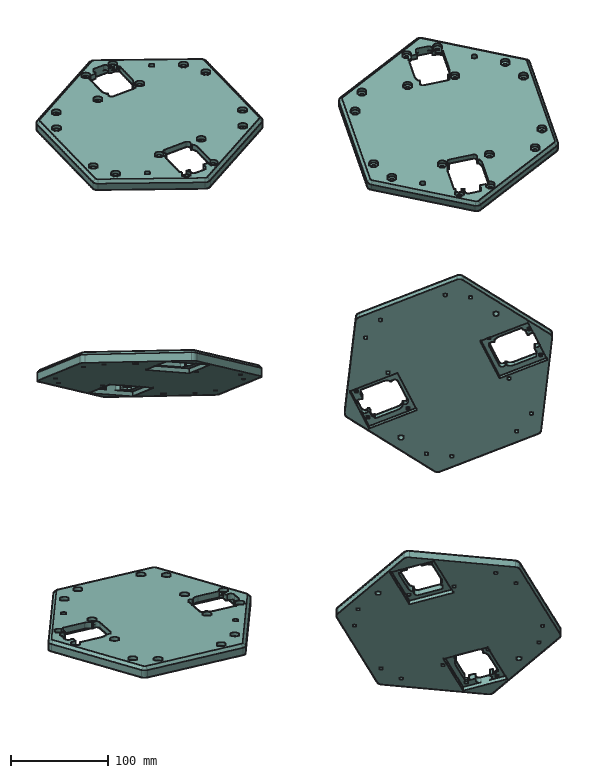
import cadquery as cq
import math

length = 232.7
thickness = 11.9
corner_radius = 6.0
edge_chamfer = 3.3
vertex_loss = corner_radius * (1 / math.cos(math.radians(30)) - 1)
vertex_diameter = length + 2 * vertex_loss

screw_diameter = 3.7
head_diameter = 9.5
head_radius = head_diameter / 2
head_depth = 4.2
floor_z = thickness - head_depth
edge_screws = [(36.5, 89.5), (59.0, 76.3)]
outer_screw = (-95.5, -18.8)
offset_screw = (-97.3, 14.5)
inner_screws = [(-55.4, 21.6), (-55.4, -28.6)]
relief_width = 5.5

pin_diameter = 5.5
pin_hole = (-75.0, 47.7)

body_left = -92.8
body_half_width = 18.5
shoulder_radius = 10.2
shoulder_start = -65.5
shoulder_end = -58.6
throat_half_width = 15.0
opening_right = -51.5
throat_corner_radius = 3.5
throat_corner_y = 12.3
notch_left = -100.5
notch_half_width = 8.0
notch_corner_radius = 3.7
notch_corner_y = 5.1
notch_lip_radius = 1.2

mount_floor_thickness = 7.0
recess_right = -46.5
recess_half_width = 24.5


def box_between(x_min, x_max, half_width, height=thickness):
    """Block standing on the bottom plane, symmetric about the X axis."""
    block = cq.Workplane("XY").box(x_max - x_min, 2 * half_width, height, centered=(False, True, False))
    return block.translate((x_min, 0, 0))


def cylinders(points, diameter, bottom_z=0.0):
    """Round cutters running from bottom_z up to the top face."""
    plane = cq.Workplane("XY", origin=(0, 0, bottom_z))
    return plane.pushPoints(points).circle(diameter / 2).extrude(thickness - bottom_z)


def mirrored_pair(x, y):
    return [(x, y), (x, -y)]


def make_plate():
    plate = cq.Workplane("XY").polygon(6, vertex_diameter).extrude(thickness)
    plate = plate.edges("|Z").fillet(corner_radius)
    return plate.faces(">Z").edges().chamfer(edge_chamfer)


def make_screw_cutter(points):
    return cylinders(points, screw_diameter).union(cylinders(points, head_diameter, floor_z))


def make_motor_opening():
    shoulder_centre_y = body_half_width - shoulder_radius
    shoulder_length = shoulder_end - shoulder_start
    end_angle = math.acos(shoulder_length / shoulder_radius)
    end_y = shoulder_centre_y + shoulder_radius * math.sin(end_angle)
    mid_angle = (math.pi / 2 + end_angle) / 2
    mid_x = shoulder_start + shoulder_radius * math.cos(mid_angle)
    mid_y = shoulder_centre_y + shoulder_radius * math.sin(mid_angle)
    body = (
        cq.Workplane("XY")
        .moveTo(body_left, -body_half_width)
        .lineTo(shoulder_start, -body_half_width)
        .threePointArc((mid_x, -mid_y), (shoulder_end, -end_y))
        .lineTo(shoulder_end, end_y)
        .threePointArc((mid_x, mid_y), (shoulder_start, body_half_width))
        .lineTo(body_left, body_half_width)
        .close()
        .extrude(thickness)
    )
    body = body.cut(cylinders(mirrored_pair(*outer_screw), head_diameter))

    throat_corner_x = opening_right - throat_corner_radius
    notch_corner_x = notch_left + notch_corner_radius
    throat_corners = mirrored_pair(throat_corner_x, throat_corner_y)
    notch_corners = mirrored_pair(notch_corner_x, notch_corner_y)
    opening = (
        body.union(box_between(shoulder_end, throat_corner_x, throat_half_width))
        .union(box_between(throat_corner_x, opening_right, throat_corner_y))
        .union(cylinders(throat_corners, 2 * throat_corner_radius))
        .union(box_between(notch_corner_x, body_left, notch_half_width))
        .union(box_between(notch_left, notch_corner_x, notch_corner_y))
        .union(cylinders(notch_corners, 2 * notch_corner_radius))
    )
    for x, y in mirrored_pair(body_left, notch_half_width):
        lip_edge = cq.selectors.NearestToPointSelector((x, y, thickness / 2))
        opening = opening.edges(lip_edge).fillet(notch_lip_radius)
    return opening


def make_head_relief():
    """Opens the offset screw's counterbore sideways into the motor opening."""
    relief_length = outer_screw[0] + head_radius - offset_screw[0]
    relief = cq.Workplane("XY").box(relief_length, relief_width, head_depth, centered=(False, True, False))
    return relief.translate((*offset_screw, floor_z))


def make_motor_mount_cutter():
    screws = make_screw_cutter([outer_screw, offset_screw, *inner_screws])
    pin = cylinders([pin_hole], pin_diameter)
    recess = box_between(notch_left, recess_right, recess_half_width, thickness - mount_floor_thickness)
    return make_motor_opening().union(screws).union(make_head_relief()).union(pin).union(recess)


result = make_plate()

quadrant_signs = [(1, 1), (1, -1), (-1, 1), (-1, -1)]
edge_points = [(sx * x, sy * y) for x, y in edge_screws for sx, sy in quadrant_signs]
result = result.cut(make_screw_cutter(edge_points))

motor_mount_cutter = make_motor_mount_cutter()
for turn in (0, 180):
    result = result.cut(motor_mount_cutter.rotate((0, 0, 0), (0, 0, 1), turn))